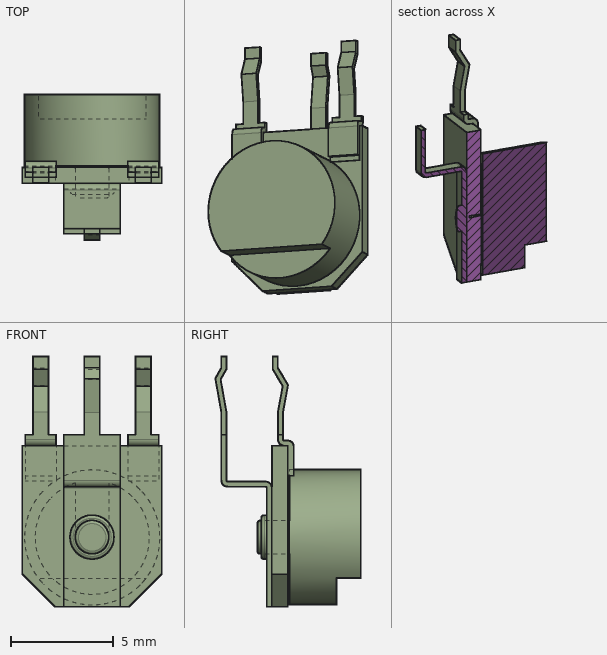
import cadquery as cq
import math


board_width = 6.81
board_height = 7.87
board_thickness = 0.78
corner_chamfer = 1.6

axis_z = 3.41
knob_radius = 3.3
knob_front_y = 0.85
knob_back_y = 4.34
flat_below_axis = 2.0
flat_depth = 1.17
shaft_radius = 0.82
shaft_end_y = -0.71
rim_round = 0.15

track_thickness = 0.04
track_radius = 2.79
track_back_y = board_thickness + track_thickness
pad_bottom_z = 6.16

sheet = 0.26
bend_inner_radius = 0.05
bend_outer_radius = bend_inner_radius + sheet
terminal_top_z = 12.22
shoulder_z = 8.41
pin_width = 0.77

side_spacing = 5.01
side_width = 1.52
side_bottom_z = 6.4
side_pin_y = 0.29
side_kink_y = 0.53
side_tip_y = 0.04
side_kink_start_z = 9.53
side_kink_z = 10.78
side_kink_end_z = 11.6

wiper_width = 2.76
wiper_shelf_z = 5.87
wiper_pin_y = -2.47
wiper_kink_y = -2.76
wiper_kink_start_z = 9.5
wiper_kink_z = 11.15
wiper_kink_end_z = 11.67
collar_radius = shaft_radius + sheet
collar_front_y = -0.53


def cylinder_along_y(radius, y_start, y_end):
    """Solid cylinder about the rotor axis between two Y positions."""
    disc = cq.Workplane("XZ", origin=(0, y_start, axis_z)).circle(radius)
    return disc.extrude(y_start - y_end)


def box_between(x_range, y_range, z_range):
    """Axis-aligned box given by its (low, high) limits along each axis."""
    (x0, x1), (y0, y1), (z0, z1) = x_range, y_range, z_range
    return cq.Workplane("XY").box(x1 - x0, y1 - y0, z1 - z0, centered=False).translate((x0, y0, z0))


def offset_path(path, distance):
    """Mitred parallel of an open (Y, Z) path, on the +Y side where the path runs upward."""
    headings = [math.atan2(b[1] - a[1], b[0] - a[0]) for a, b in zip(path, path[1:])]
    before = headings[:1] + headings
    after = headings + headings[-1:]
    parallel = []
    for (y, z), heading_in, heading_out in zip(path, before, after):
        middle = (heading_in + heading_out) / 2
        reach = distance / math.cos((heading_out - heading_in) / 2)
        parallel.append((y + reach * math.sin(middle), z - reach * math.cos(middle)))
    return parallel


def bent_terminal(front_path, width):
    """Bent strip whose front face follows front_path; it narrows to a pin above the shoulder.

    Points 1 and 2 of the path are the two rounded right-angle bends.
    """
    back_path = offset_path(front_path, sheet)
    outline = front_path + back_path[::-1]
    strip = cq.Workplane("YZ").polyline(outline).close().extrude(width / 2, both=True)
    bends = [
        (front_path[1], bend_inner_radius),
        (back_path[1], bend_outer_radius),
        (front_path[2], bend_outer_radius),
        (back_path[2], bend_inner_radius),
    ]
    for (y, z), radius in bends:
        strip = strip.edges("|X").edges(cq.NearestToPointSelector((0, y, z))).fillet(radius)

    pin_height = terminal_top_z - shoulder_z
    shoulder_width = (width - pin_width) / 2
    shoulder_x = (width + pin_width) / 4
    notch_depth = 2 * board_width
    for x in (-shoulder_x, shoulder_x):
        notch = cq.Workplane("XY").box(shoulder_width, notch_depth, pin_height)
        strip = strip.cut(notch.translate((x, 0, shoulder_z + pin_height / 2)))
    return strip


def make_board():
    """Plain board with its two lower corners cut off."""
    blank = box_between(
        (-board_width / 2, board_width / 2), (0, board_thickness), (0, board_height)
    )
    return blank.edges("|Y and <Z").chamfer(corner_chamfer)


def make_track():
    """Track disc with a slot that runs from the shaft straight up through the rim."""
    disc = cylinder_along_y(track_radius, board_thickness, track_back_y)
    slot = box_between(
        (-shaft_radius, shaft_radius), (board_thickness, track_back_y), (axis_z, axis_z + track_radius)
    )
    return disc.cut(slot)


def make_pad():
    """Contact pad that lies between the board and one side terminal."""
    return box_between(
        (-side_width / 2, side_width / 2), (board_thickness, track_back_y), (pad_bottom_z, board_height)
    )


def make_side_terminal():
    """Terminal that lies on the pad, hooks over the top edge of the board and ends in a kinked pin."""
    front_path = [
        (track_back_y, side_bottom_z),
        (track_back_y, board_height),
        (side_pin_y, board_height),
        (side_pin_y, side_kink_start_z),
        (side_kink_y, side_kink_z),
        (side_tip_y, side_kink_end_z),
        (side_tip_y, terminal_top_z),
    ]
    return bent_terminal(front_path, side_width)


def make_base():
    """Board with track, pads and both side terminals, bored for the rotor shaft."""
    base = make_board().union(make_track())
    for x in (-side_spacing / 2, side_spacing / 2):
        base = base.union(make_pad().translate((x, 0, 0)))
        base = base.union(make_side_terminal().translate((x, 0, 0)))
    return base.cut(cylinder_along_y(shaft_radius, 0, track_back_y))


def make_wiper():
    """Centre terminal on the front of the board, with a round collar about the shaft."""
    front_path = [
        (-sheet, 0),
        (-sheet, wiper_shelf_z),
        (wiper_pin_y, wiper_shelf_z),
        (wiper_pin_y, wiper_kink_start_z),
        (wiper_kink_y, wiper_kink_z),
        (wiper_pin_y, wiper_kink_end_z),
        (wiper_pin_y, terminal_top_z),
    ]
    collar = cylinder_along_y(collar_radius, -sheet, collar_front_y).edges("<Y").fillet(rim_round)
    strip = bent_terminal(front_path, wiper_width).union(collar)
    return strip.cut(cylinder_along_y(shaft_radius, 0, collar_front_y))


def make_rotor():
    """Knob behind the board, flattened below at its back end, with a shaft through to the front."""
    knob = cylinder_along_y(knob_radius, knob_front_y, knob_back_y)
    flat = box_between(
        (-knob_radius, knob_radius),
        (knob_back_y - flat_depth, knob_back_y),
        (axis_z - knob_radius, axis_z - flat_below_axis),
    )
    shaft = cylinder_along_y(shaft_radius, shaft_end_y, knob_front_y).edges("<Y").fillet(rim_round)
    return knob.cut(flat).union(shaft)


base = make_base()
wiper = make_wiper()
rotor = make_rotor()

result = cq.Compound.makeCompound([body.solids().val() for body in (base, wiper, rotor)])